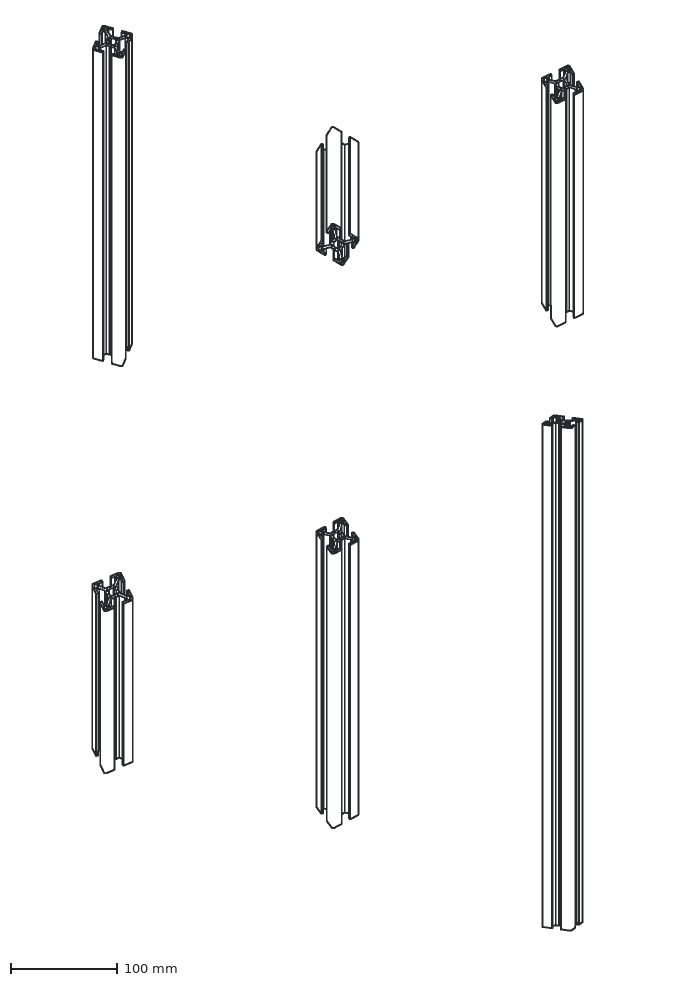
import cadquery as cq
import math

LENGTH = 500.0
WIDTH = 30.0
CORNER_RADIUS = 2.0

HALF_OPENING = 4.4
OPENING_CHAMFER = 0.3
CHAMBER_WIDTH = 16.5
SLOT_DEPTH = 9.0
LIP_THICKNESS = 2.1
SPOKE_THICKNESS = 2.55
FLOOR_GROOVE_WIDTH = 2.2
FLOOR_GROOVE_DEPTH = 0.6

CHAMBER_WALL = 1.5
OUTER_WALL = 1.7
CAVITY_CHAMFER = 0.7

BORE_DIAMETER = 7.5
NOTCH_SPAN = 11.5
NOTCH_WIDTH = 1.2

HALF_WIDTH = WIDTH / 2
HALF_CHAMBER = CHAMBER_WIDTH / 2
CUT_MARGIN = 2.5


def make_bar():
    """Square bar with rounded long edges."""
    bar = cq.Workplane("XY").rect(WIDTH, WIDTH).extrude(LENGTH)
    return bar.edges("|Z").fillet(CORNER_RADIUS)


def make_slot_cutter():
    """T-slot of the +Y side: chamfered opening, wide chamber, sloped walls and a V groove in the floor."""
    mouth = HALF_OPENING + OPENING_CHAMFER
    lip = HALF_WIDTH - LIP_THICKNESS
    floor = HALF_WIDTH - SLOT_DEPTH
    spoke_offset = SPOKE_THICKNESS / math.sqrt(2)
    right_half = [
        (mouth, HALF_WIDTH + CUT_MARGIN),
        (mouth, HALF_WIDTH),
        (HALF_OPENING, HALF_WIDTH - OPENING_CHAMFER),
        (HALF_OPENING, lip),
        (HALF_CHAMBER, lip),
        (HALF_CHAMBER, HALF_CHAMBER + spoke_offset),
        (floor - spoke_offset, floor),
        (FLOOR_GROOVE_WIDTH / 2, floor),
    ]
    groove_bottom = (0, floor - FLOOR_GROOVE_DEPTH)
    left_half = [(-x, y) for x, y in reversed(right_half)]
    outline = right_half + [groove_bottom] + left_half
    return cq.Workplane("XY").polyline(outline).close().extrude(LENGTH)


def make_cavity_cutter():
    """Hollow of the +X +Y corner block, chamfered towards the bar's corner and towards its centre."""
    inner = HALF_CHAMBER + CHAMBER_WALL
    outer = HALF_WIDTH - OUTER_WALL
    middle = (inner + outer) / 2
    cavity = cq.Workplane("XY").center(middle, middle).rect(outer - inner, outer - inner).extrude(LENGTH)
    cavity = cavity.edges("|Z and >X and >Y").chamfer(CAVITY_CHAMFER)
    return cavity.edges("|Z and <X and <Y").chamfer(CAVITY_CHAMFER)


def make_bore_cutter():
    """Round through bore with a narrow notch running into each of the four spokes."""
    bore = cq.Workplane("XY").circle(BORE_DIAMETER / 2).extrude(LENGTH)
    notch_pair = cq.Workplane("XY").rect(NOTCH_SPAN, NOTCH_WIDTH).extrude(LENGTH)
    for angle in (45, 135):
        bore = bore.union(notch_pair.rotate((0, 0, 0), (0, 0, 1), angle))
    return bore


result = make_bar().cut(make_bore_cutter())
side_cutters = (make_slot_cutter(), make_cavity_cutter())
for side in range(4):
    for cutter in side_cutters:
        result = result.cut(cutter.rotate((0, 0, 0), (0, 0, 1), 90 * side))